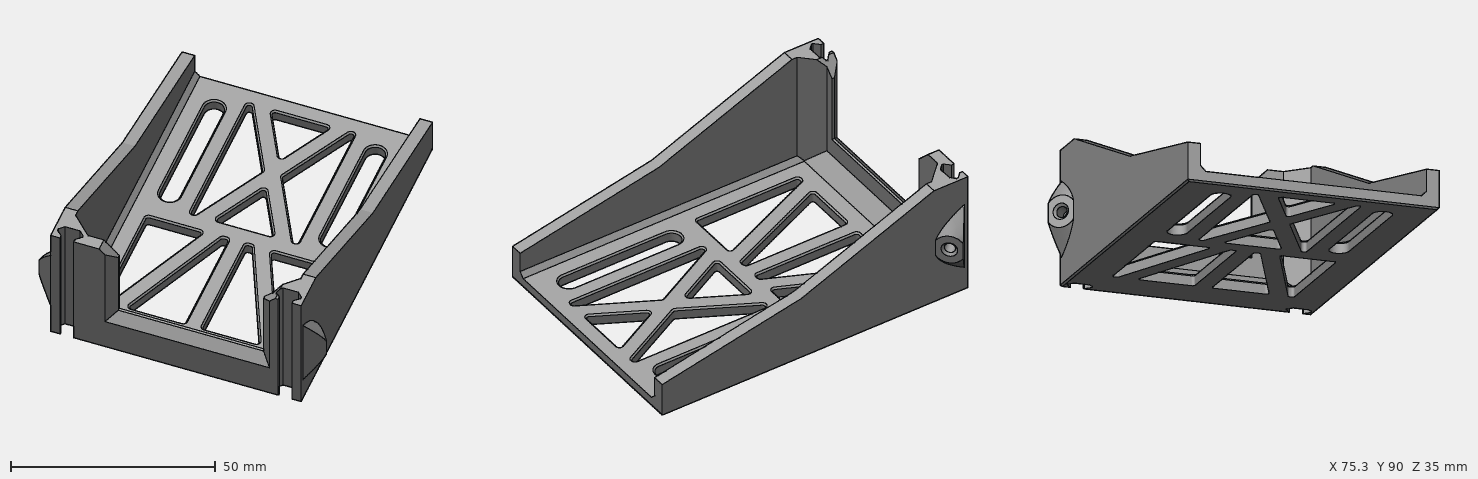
import cadquery as cq

length = 90.0
width = 65.5
height = 35.0
half_width = width / 2
base_chamfer = 0.45

wall = 3.3
floor = 3.0
floor_wall_chamfer = 1.35
rear_wall_height = 10.0
bend_y = 49.05
bend_height = 18.7
crest_y = 10.0
inner_half_width = half_width - wall

frame_depth = 3.2
frame_corner_chamfer = 5.2
frame_floor_chamfer = 4.05
window_left = -16.0
window_right = 22.0
window_sill = 12.0
window_lead_in = 2.5
window_top_chamfer = 4.05

groove_x = 28.5
groove_neck = 3.6
groove_neck_depth = 0.8
groove_width = 6.5
groove_top_width = 4.0
groove_depth = 4.0
groove_flank_start = groove_neck_depth + (groove_width - groove_neck) / 2
groove_flank_end = groove_depth - (groove_width - groove_top_width) / 2

opening_chamfer = 0.45
corner_radius = 0.7
slot_x = 21.1
slot_width = 5.1
slot_length = 35.3
slot_y = 66.15
rib_width = 4.5
brace_panel_half_width = 14.0
brace_panel_front = 46.7
brace_panel_rear = 85.7
brace_angle = 62.2
lower_panel_half_width = 23.7
lower_panel_front = 12.1
lower_panel_rear = 42.0
strut_angle = 66.0
strut_x = 13.05

boss_reach = 4.9
boss_z = 17.0
boss_tip_y = 4.7
boss_front_y = 1.1
boss_face_radius = 4.1
boss_cone_length = 10.8
boss_root = 0.9
screw_diameter = 2.8
screw_countersink = 0.675
screw_depth = 4.5


def box(x0, x1, y0, y1, z0, z1):
    """Box between opposite corners."""
    return cq.Workplane("XY").box(x1 - x0, y1 - y0, z1 - z0, centered=False).translate((x0, y0, z0))


def mirrored(solid):
    """The solid together with its mirror image across the YZ plane."""
    return solid.union(solid.mirror("YZ"))


def rib(x, y, angle):
    """Long bar through (x, y) that keeps a rib standing between two openings."""
    bar = cq.Workplane("XY").box(2 * length, rib_width, 2 * height)
    return bar.rotate((0, 0, 0), (0, 0, 1), angle).translate((x, y, 0))


def make_shell():
    """Outer block with the stepped side profile, hollowed above the floor."""
    block = (
        cq.Workplane("YZ")
        .polyline([
            (0, 0),
            (length, 0),
            (length, rear_wall_height),
            (bend_y, bend_height),
            (crest_y, height),
            (0, height),
        ])
        .close()
        .extrude(half_width, both=True)
        .faces("<Z")
        .chamfer(base_chamfer)
    )
    overrun = length + height
    cavity = box(-inner_half_width, inner_half_width, frame_depth, overrun, floor, overrun)
    cavity = cavity.edges("|Z and <Y").chamfer(frame_corner_chamfer)
    wall_toe = (
        cq.Workplane("XZ")
        .polyline([
            (-inner_half_width, floor),
            (-inner_half_width + floor_wall_chamfer, floor),
            (-inner_half_width, floor + floor_wall_chamfer),
        ])
        .close()
        .extrude(-length)
    )
    frame_toe = (
        cq.Workplane("YZ")
        .polyline([
            (frame_depth, floor),
            (frame_depth + frame_floor_chamfer, floor),
            (frame_depth, floor + frame_floor_chamfer),
        ])
        .close()
        .extrude(inner_half_width, both=True)
    )
    return block.cut(cavity.cut(mirrored(wall_toe)).cut(frame_toe))


def make_window():
    """Front window with a flared entry and bevelled upper corners."""
    lead = window_lead_in
    middle = (window_left + window_right) / 2
    span = window_right - window_left
    rise = height
    flare = (
        cq.Workplane("XZ")
        .center(middle, window_sill + rise / 2)
        .rect(span + 2 * lead, rise + 2 * lead)
        .workplane(offset=-lead)
        .rect(span, rise)
        .loft(ruled=True)
    )
    opening = box(window_left, window_right, 0, frame_depth, window_sill, window_sill + rise)
    bevel = (
        cq.Workplane("XZ")
        .polyline([
            (window_left - window_top_chamfer, height),
            (window_right + window_top_chamfer, height),
            (window_right, height - window_top_chamfer),
            (window_left, height - window_top_chamfer),
        ])
        .close()
        .extrude(-(frame_depth + frame_corner_chamfer))
    )
    return opening.union(flare).union(bevel)


def make_groove():
    """Undercut groove running the full height of one front corner."""
    right_side = [
        (groove_neck / 2, 0),
        (groove_neck / 2, groove_neck_depth),
        (groove_width / 2, groove_flank_start),
        (groove_width / 2, groove_flank_end),
        (groove_top_width / 2, groove_depth),
    ]
    left_side = [(-x, y) for x, y in reversed(right_side)]
    return (
        cq.Workplane("XY")
        .polyline(right_side + left_side)
        .close()
        .extrude(height)
        .translate((groove_x, 0, 0))
    )


def make_openings():
    """Two long slots and two ribbed panels, cut through the floor."""
    slots = (
        cq.Workplane("XY")
        .pushPoints([(-slot_x, slot_y), (slot_x, slot_y)])
        .slot2D(slot_length, slot_width, 90)
        .extrude(floor)
    )
    brace_panel = box(
        -brace_panel_half_width, brace_panel_half_width, brace_panel_front, brace_panel_rear, 0, floor
    )
    brace_y = (brace_panel_front + brace_panel_rear) / 2
    brace_panel = brace_panel.cut(mirrored(rib(0, brace_y, brace_angle)))
    lower_panel = box(
        -lower_panel_half_width, lower_panel_half_width, lower_panel_front, lower_panel_rear, 0, floor
    )
    lower_y = (lower_panel_front + lower_panel_rear) / 2
    lower_panel = lower_panel.cut(mirrored(rib(-strut_x, lower_y, strut_angle)))
    lower_panel = lower_panel.cut(rib(0, lower_y, 90))
    panels = brace_panel.union(lower_panel).edges("|Z").fillet(corner_radius)
    return slots.union(panels)


def make_boss():
    """Conical boss and screw hole on the +X side, facing out and rearward at 45 degrees."""
    tip_x = half_width + boss_reach
    face_center = (half_width + boss_reach / 2, boss_tip_y + boss_reach / 2, boss_z)
    plane = cq.Plane(origin=face_center, xDir=(0, 0, 1), normal=(1, 1, 0))
    cone = (
        cq.Workplane(plane)
        .circle(boss_face_radius)
        .workplane(offset=-boss_cone_length)
        .circle(boss_face_radius + boss_cone_length)
        .loft()
    )
    envelope = (
        cq.Workplane("XY")
        .polyline([
            (half_width - boss_root, boss_front_y),
            (half_width, boss_front_y),
            (tip_x, boss_tip_y),
            (half_width, boss_tip_y + boss_reach),
            (half_width - boss_root, boss_tip_y + boss_reach),
        ])
        .close()
        .extrude(height)
    )
    hole = cq.Workplane(plane).circle(screw_diameter / 2).extrude(-screw_depth)
    countersink = (
        cq.Workplane(plane)
        .circle(screw_diameter / 2 + screw_countersink)
        .workplane(offset=-screw_countersink)
        .circle(screw_diameter / 2)
        .loft()
    )
    return cone.intersect(envelope), hole.union(countersink)


def chamfer_openings(body):
    """Chamfer the upper rims of all floor openings."""
    floor_area = cq.selectors.BoxSelector(
        (-inner_half_width, frame_depth, floor - opening_chamfer),
        (inner_half_width, length, floor + opening_chamfer),
    )
    floor_face = body.faces(floor_area).val()
    rims = [edge for wire in floor_face.innerWires() for edge in wire.Edges()]
    return body.newObject(rims).chamfer(opening_chamfer)


boss, screw_hole = make_boss()
tray = chamfer_openings(make_shell().cut(make_openings()))
tray = tray.union(mirrored(boss)).cut(mirrored(screw_hole))
result = tray.cut(make_window()).cut(mirrored(make_groove()))